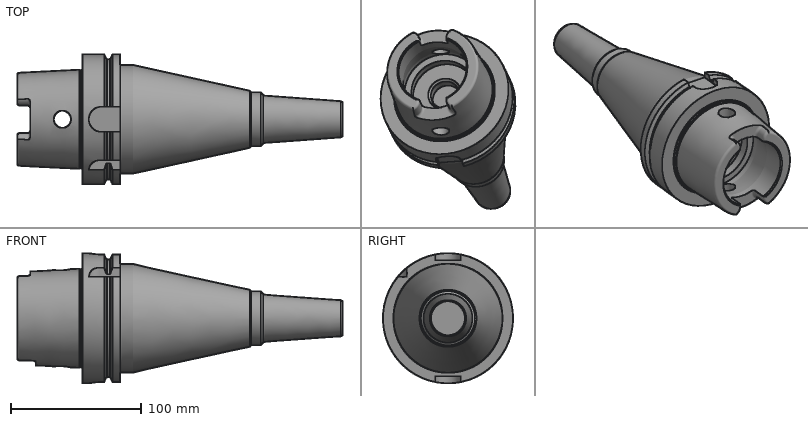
import cadquery as cq
import math


shank_length = 50.0
shank_tip_radius = 35.8
shank_taper = 0.05
tip_round = 2.0
shank_taper_end_x = 47.5

relief_step = 0.8
relief_floor_radius = 37.8
relief_inner_radius = 38.5
relief_outer_radius = 39.5
relief_depth = 0.5

flange_radius = 50.0
flange_length = 29.0
groove_centre_x = shank_length + 20.0
groove_floor_radius = 46.2
groove_floor_width = 2.0
groove_root_radius = 46.8
groove_root_width = 3.5
groove_mouth_width = 6.5

neck_radius = 41.8
neck_lead_length = 1.5
neck_lead_depth = 0.2
cone_start_x = 89.0
cone_end_x = 178.5
cone_end_radius = 22.0
collar_radius = 20.8
collar_step_length = 1.0
collar_end_x = 187.0
collar_chamfer_length = 1.8
nose_shoulder_radius = 18.8
nose_start_x = 190.0
nose_start_radius = 18.2
nose_end_radius = 14.0
nose_chamfer_length = 1.8
nose_chamfer_depth = 1.0
total_length = 250.0

bore_radius = 26.5
bore_chamfer = 1.0
bore_entry_length = 19.2
clamp_recess_radius = 29.8
clamp_cone_end_x = 37.5
clamp_recess_end_x = 42.5
inner_bore_radius = 24.5
inner_bore_end_x = 50.0
pilot_radius = 12.8
pilot_chamfer = 1.8
pilot_end_x = 60.0

drive_slot_width = 21.0
upper_drive_slot_depth = 10.0
lower_drive_slot_depth = 14.2
drive_slot_flare_radius = 6.8
drive_slot_flare_height = 26.0
drive_slot_floor_fillet = 2.0

cross_hole_radius = 6.5
cross_hole_x = 34.8

keyway_width = 19.2
keyway_start_x = 55.0
keyway_floor_height = 44.5
notch_wall_y = -31.5
notch_floor_z = 31.8
notch_end_radius = 8.0


def revolve_about_x(points):
    """Close an (x, radius) outline and turn it about the X axis."""
    return cq.Workplane("XY").polyline(points).close().revolve(360, (0, 0, 0), (1, 0, 0))


def make_body():
    """Outer shape of the shank, flange, body cone, collar and nose."""
    flange_end_x = shank_length + flange_length
    shank_end_radius = shank_tip_radius + shank_taper * shank_taper_end_x
    half_mouth = groove_mouth_width / 2
    half_root = groove_root_width / 2
    half_floor = groove_floor_width / 2
    outline = [
        (0, 0),
        (0, shank_tip_radius),
        (shank_taper_end_x, shank_end_radius),
        (shank_taper_end_x + relief_step, relief_floor_radius),
        (shank_length - relief_step, relief_floor_radius),
        (shank_length + relief_depth, relief_inner_radius),
        (shank_length, relief_outer_radius),
        (shank_length, flange_radius),
        (groove_centre_x - half_mouth, flange_radius),
        (groove_centre_x - half_root, groove_root_radius),
        (groove_centre_x - half_floor, groove_floor_radius),
        (groove_centre_x + half_floor, groove_floor_radius),
        (groove_centre_x + half_root, groove_root_radius),
        (groove_centre_x + half_mouth, flange_radius),
        (flange_end_x, flange_radius),
        (flange_end_x, neck_radius + neck_lead_depth),
        (flange_end_x + neck_lead_length, neck_radius),
        (cone_start_x, neck_radius),
        (cone_end_x, cone_end_radius),
        (cone_end_x + collar_step_length, collar_radius),
        (collar_end_x, collar_radius),
        (collar_end_x + collar_chamfer_length, nose_shoulder_radius),
        (nose_start_x, nose_start_radius),
        (total_length - nose_chamfer_length, nose_end_radius),
        (total_length, nose_end_radius - nose_chamfer_depth),
        (total_length, 0),
    ]
    return revolve_about_x(outline)


def make_bore():
    """Blind stepped bore with a conical clamping recess."""
    outline = [
        (0, 0),
        (0, bore_radius + bore_chamfer),
        (bore_chamfer, bore_radius),
        (bore_entry_length, bore_radius),
        (clamp_cone_end_x, clamp_recess_radius),
        (clamp_recess_end_x, clamp_recess_radius),
        (clamp_recess_end_x, inner_bore_radius),
        (inner_bore_end_x, inner_bore_radius),
        (inner_bore_end_x, pilot_radius),
        (inner_bore_end_x + pilot_chamfer, pilot_radius - pilot_chamfer),
        (pilot_end_x, pilot_radius - pilot_chamfer),
        (pilot_end_x, 0),
    ]
    return revolve_about_x(outline)


def make_drive_slot(depth):
    """Slot on the +Z side of the tip, flaring outwards along a round on each side."""
    half_width = drive_slot_width / 2
    flare = drive_slot_flare_radius
    flare_top = drive_slot_flare_height + flare
    mid_y = half_width + flare * (1 - math.sqrt(0.5))
    mid_z = drive_slot_flare_height + flare * math.sqrt(0.5)
    return (
        cq.Workplane("YZ")
        .moveTo(-half_width, 0)
        .lineTo(half_width, 0)
        .lineTo(half_width, drive_slot_flare_height)
        .threePointArc((mid_y, mid_z), (half_width + flare, flare_top))
        .lineTo(half_width + flare, flange_radius)
        .lineTo(-half_width - flare, flange_radius)
        .lineTo(-half_width - flare, flare_top)
        .threePointArc((-mid_y, mid_z), (-half_width, drive_slot_flare_height))
        .close()
        .extrude(depth)
        .faces(">X")
        .edges("not(<Z or >Z)")
        .fillet(drive_slot_floor_fillet)
    )


def make_cross_hole():
    """Hole along Z through both walls of the shank."""
    return (
        cq.Workplane("XY")
        .center(cross_hole_x, 0)
        .circle(cross_hole_radius)
        .extrude(flange_radius, both=True)
    )


def make_round_ended_slot(start_x, centre_y, radius, floor_z):
    """Slot open at the back of the flange, with a full round at its start."""
    flange_end_x = shank_length + flange_length
    centre_x = start_x + radius
    return (
        cq.Workplane("XY", origin=(0, centre_y, floor_z))
        .moveTo(flange_end_x, -radius)
        .lineTo(centre_x, -radius)
        .threePointArc((start_x, 0), (centre_x, radius))
        .lineTo(flange_end_x, radius)
        .close()
        .extrude(flange_radius - floor_z)
    )


def to_lower_side(shape):
    """Turn a +Z feature half a turn about the axis."""
    return shape.rotate((0, 0, 0), (1, 0, 0), 180)


keyway = make_round_ended_slot(keyway_start_x, 0, keyway_width / 2, keyway_floor_height)
notch = make_round_ended_slot(
    keyway_start_x, notch_wall_y - notch_end_radius, notch_end_radius, notch_floor_z
)

slotted_body = (
    make_body()
    .cut(make_drive_slot(upper_drive_slot_depth))
    .cut(to_lower_side(make_drive_slot(lower_drive_slot_depth)))
    .faces("<X")
    .edges()
    .fillet(tip_round)
)

result = (
    slotted_body
    .cut(make_bore())
    .cut(make_cross_hole())
    .cut(keyway)
    .cut(to_lower_side(keyway))
    .cut(notch)
)